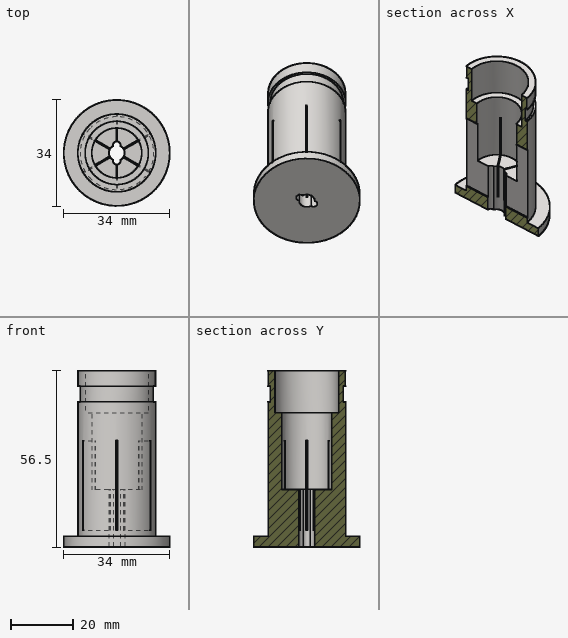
import cadquery as cq

height = 56.5
flange_diameter = 34.0
flange_thickness = 3.5
body_diameter = 25.0

groove_diameter = 23.5
groove_width = 5.0
collar_height = 5.0
collar_diameter = 24.9
groove_top = height - collar_height
groove_bottom = groove_top - groove_width

upper_bore_diameter = 20.3
upper_bore_depth = 13.45
lower_bore_diameter = 16.0
lower_bore_floor = 18.5

clamp_hole_diameter = 5.0
channel_diameter = 2.4
channel_offset = clamp_hole_diameter / 2

slot_count = 3
slot_width = 0.4
slot_bottom = 5.5
slot_top = 34.1
first_slot_angle = 90.0


def cylinder(diameter, bottom, top, y=0.0):
    """Vertical cylinder between two heights."""
    base = cq.Workplane("XY", origin=(0, y, bottom))
    return base.circle(diameter / 2).extrude(top - bottom)


def outer_body():
    """Flange, tube, groove neck and end collar as one solid."""
    flange = cylinder(flange_diameter, 0, flange_thickness)
    tube = cylinder(body_diameter, flange_thickness, groove_bottom)
    neck = cylinder(groove_diameter, groove_bottom, groove_top)
    collar = cylinder(collar_diameter, groove_top, height)
    return flange.union(tube).union(neck).union(collar)


def stepped_bore():
    """Wide bore from the top with a narrower blind bore below it."""
    upper_bore = cylinder(upper_bore_diameter, height - upper_bore_depth, height)
    lower_bore = cylinder(lower_bore_diameter, lower_bore_floor, height)
    return upper_bore.union(lower_bore)


def clamping_hole():
    """Hole from the bottom into the lower bore, with its two coolant channels."""
    hole = cylinder(clamp_hole_diameter, 0, lower_bore_floor)
    for side in (-1, 1):
        hole = hole.union(cylinder(channel_diameter, 0, lower_bore_floor, side * channel_offset))
    return hole


def diametral_slot(angle):
    """Thin upright slot across the whole tube, turned about Z from the X axis."""
    slot = cq.Workplane("XY", origin=(0, 0, slot_bottom))
    slot = slot.rect(flange_diameter, slot_width).extrude(slot_top - slot_bottom)
    return slot.rotate((0, 0, 0), (0, 0, 1), angle)


sleeve = outer_body().cut(stepped_bore()).cut(clamping_hole())
for index in range(slot_count):
    sleeve = sleeve.cut(diametral_slot(first_slot_angle + index * 180.0 / slot_count))

result = sleeve